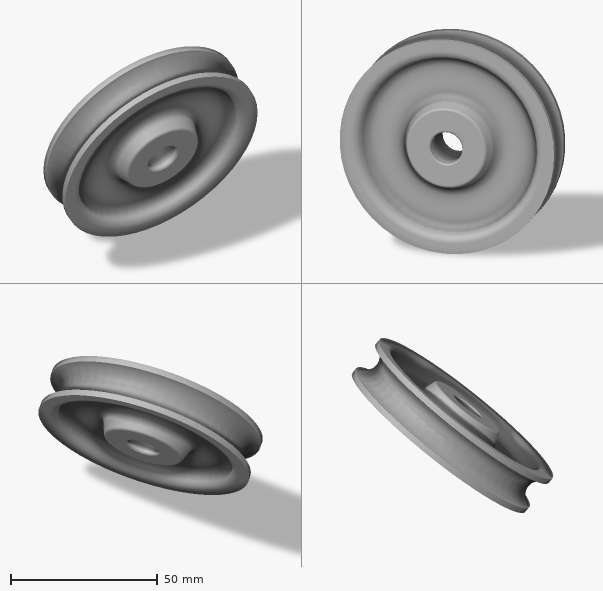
import cadquery as cq
import math

wheel_radius = 38.0
rim_width = 15.05
hub_width = 17.0
web_thickness = 3.95

groove_radius = 5.5
groove_depth = 4.7

recess_mouth_radius = 34.3
hub_face_radius = 13.3
draft_angle = 20.0
blend_radius = 3.0
hub_edge_radius = 1.0

bore_radius = 5.6
bore_chamfer = 0.45

half_rim = rim_width / 2
half_hub = hub_width / 2
half_web = web_thickness / 2

wall_slope = math.tan(math.radians(draft_angle))
blend_rise = blend_radius * math.cos(math.radians(draft_angle))
blend_run = blend_radius * (1 - math.sin(math.radians(draft_angle)))
hub_edge_rise = hub_edge_radius * math.cos(math.radians(draft_angle))
hub_edge_run = hub_edge_radius * (1 - math.sin(math.radians(draft_angle)))

hub_wall_run = half_hub - half_web - hub_edge_run - blend_run
hub_foot_radius = hub_face_radius + hub_edge_rise + hub_wall_run * wall_slope + blend_rise
rim_wall_run = half_rim - half_web - 2 * blend_run
rim_foot_radius = recess_mouth_radius - 2 * blend_rise - rim_wall_run * wall_slope

groove_center_radius = wheel_radius - groove_depth + groove_radius
groove_overhang = groove_center_radius - wheel_radius
groove_half_width = math.sqrt(groove_radius**2 - groove_overhang**2)
groove_sweep = math.acos(groove_overhang / groove_radius)


def arc_point(center, radius, degrees):
    """Point (axial, radial) on a circle, with the angle measured from +X."""
    angle = math.radians(degrees)
    return (center[0] + radius * math.cos(angle), center[1] + radius * math.sin(angle))


def add_arc(profile, center, radius, start, end):
    """Draw a line to the start of an arc, then the arc itself."""
    return profile.lineTo(*arc_point(center, radius, start)).threePointArc(
        arc_point(center, radius, (start + end) / 2), arc_point(center, radius, end)
    )


def half_profile():
    """Section of the +X half: axial position, then radius."""
    hub_edge_center = (half_hub - hub_edge_radius, hub_face_radius)
    hub_root_center = (half_web + blend_radius, hub_foot_radius)
    rim_root_center = (half_web + blend_radius, rim_foot_radius)
    rim_edge_center = (half_rim - blend_radius, recess_mouth_radius)
    wall_normal = 90 - draft_angle

    profile = (
        cq.Workplane("XY")
        .moveTo(0, bore_radius)
        .lineTo(half_hub - bore_chamfer, bore_radius)
        .lineTo(half_hub, bore_radius + bore_chamfer)
    )
    profile = add_arc(profile, hub_edge_center, hub_edge_radius, 0, wall_normal)
    profile = add_arc(profile, hub_root_center, blend_radius, 180 + wall_normal, 180)
    profile = add_arc(profile, rim_root_center, blend_radius, 180, 180 - wall_normal)
    profile = add_arc(profile, rim_edge_center, blend_radius, -wall_normal, 0)

    groove_middle = (
        groove_radius * math.sin(groove_sweep / 2),
        groove_center_radius - groove_radius * math.cos(groove_sweep / 2),
    )
    return (
        profile.lineTo(half_rim, wheel_radius)
        .lineTo(groove_half_width, wheel_radius)
        .threePointArc(groove_middle, (0, wheel_radius - groove_depth))
        .close()
    )


half_wheel = half_profile().revolve(360, (0, 0, 0), (1, 0, 0))
result = half_wheel.union(half_wheel.rotate((0, 0, 0), (0, 0, 1), 180))